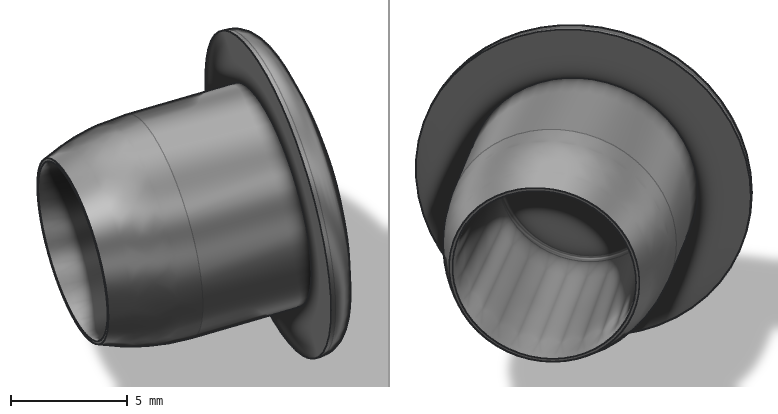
import cadquery as cq
import math

head_radius = 7.3
head_height = 2.45
rim_height = 0.2
rim_round_height = 0.96
dome_radius = 6.66

stem_radius = 5.0
stem_length = 9.0
straight_length = 5.0
tip_radius = 4.15

mouth_radius = 4.0
floor_corner_radius = 3.66
floor_fillet = 0.19

dome_base = rim_height + rim_round_height
dome_rise = head_height - dome_base
dome_sphere = (dome_radius**2 + dome_rise**2) / (2 * dome_rise)
dome_mid_radius = dome_radius / 2
dome_mid_height = head_height - dome_sphere + math.sqrt(dome_sphere**2 - dome_mid_radius**2)


def make_body():
    """Revolve the solid outline; the tip and shoulder arcs leave straight walls tangentially."""
    head = (
        cq.Workplane("XY")
        .lineTo(head_radius, 0)
        .lineTo(head_radius, rim_height)
        .tangentArcPoint((dome_radius, dome_base), relative=False)
        .threePointArc((dome_mid_radius, dome_mid_height), (0, head_height))
        .close()
        .revolve(360, (0, 0), (0, 1))
    )
    stem = (
        cq.Workplane("XY")
        .lineTo(stem_radius, 0)
        .lineTo(stem_radius, -straight_length)
        .tangentArcPoint((tip_radius, -stem_length), relative=False)
        .lineTo(0, -stem_length)
        .close()
        .revolve(360, (0, 0), (0, 1))
    )
    return head.union(stem)


def make_bore():
    """Tapered blind bore, rounded at the floor, which is level with the head underside."""
    return (
        cq.Workplane("XY")
        .moveTo(0, -stem_length)
        .lineTo(mouth_radius, -stem_length)
        .lineTo(floor_corner_radius, 0)
        .lineTo(0, 0)
        .close()
        .revolve(360, (0, 0), (0, 1))
        .faces(">Y")
        .edges()
        .fillet(floor_fillet)
    )


result = make_body().cut(make_bore())